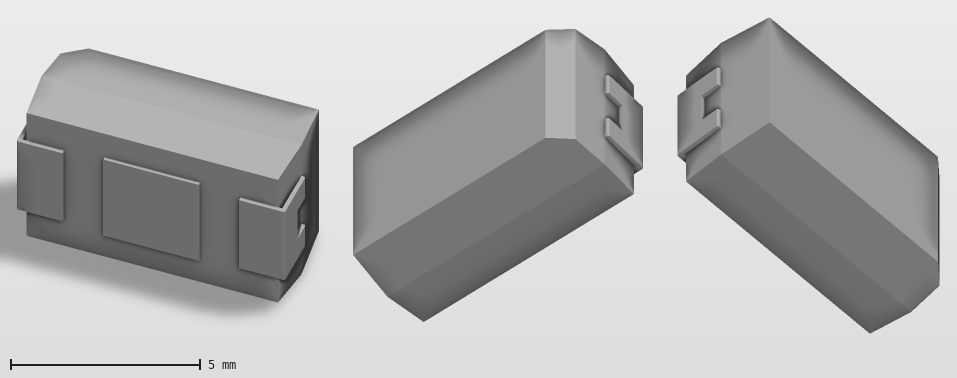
import cadquery as cq
import math

overall_length = 7.6
overall_depth = 3.1
housing_height = 4.6

sheet_thickness = 0.12
terminal_height = 2.42
foot_length = 1.3
terminal_round = 0.07
notch_height = 1.0
notch_depth = 0.6

housing_length = overall_length - 2 * sheet_thickness
back_depth = 1.6
front_depth = overall_depth - back_depth - sheet_thickness
draft_slope = math.tan(math.radians(5))
back_chamfer_length = 0.56
back_chamfer_depth = 0.5

pad_size = 2.7
pad_thickness = 0.1


def tapered_block(depth, direction):
    """Block tapering from the parting plane toward +Y (direction 1) or -Y (direction -1)."""
    inset = depth * draft_slope
    return (
        cq.Workplane("XZ")
        .rect(housing_length, housing_height)
        .workplane(offset=-direction * depth)
        .rect(housing_length - 2 * inset, housing_height - 2 * inset)
        .loft(ruled=True)
    )


def make_housing():
    """Double-tapered housing with a bevel along its back -X edge."""
    body = tapered_block(back_depth, 1).union(tapered_block(front_depth, -1))
    back_corner_x = -housing_length / 2 + back_depth * draft_slope
    bevel_start_y = back_depth - back_chamfer_depth
    bevel_start_x = -housing_length / 2 + bevel_start_y * draft_slope
    bevel_end_x = back_corner_x + back_chamfer_length
    bevel = (
        cq.Workplane("XY")
        .moveTo(bevel_start_x, bevel_start_y)
        .lineTo(bevel_end_x, back_depth)
        .lineTo(bevel_start_x, back_depth)
        .close()
        .extrude(housing_height, both=True)
    )
    return body.cut(bevel)


def make_terminal(side):
    """L-shaped strip with a notch in the end of its upright leg, at -X (side -1) or +X (side 1)."""
    outer_x = side * overall_length / 2
    inner_x = outer_x - side * sheet_thickness
    foot_end_x = outer_x - side * foot_length
    foot_front_y = -front_depth - sheet_thickness
    strip = (
        cq.Workplane("XY")
        .moveTo(outer_x, 0)
        .lineTo(inner_x, 0)
        .lineTo(inner_x, -front_depth)
        .lineTo(foot_end_x, -front_depth)
        .lineTo(foot_end_x, foot_front_y)
        .lineTo(outer_x, foot_front_y)
        .close()
        .extrude(terminal_height / 2, both=True)
        .edges("|Z")
        .edges(">X" if side > 0 else "<X")
        .fillet(terminal_round)
    )
    notch = cq.Workplane("XY").box(
        sheet_thickness, notch_depth, notch_height
    ).translate((outer_x - side * sheet_thickness / 2, -notch_depth / 2, 0))
    return strip.cut(notch)


def make_pad():
    """Thin square plate lying on the front face of the housing."""
    return cq.Workplane("XY").box(pad_size, pad_thickness, pad_size).translate(
        (0, -front_depth - pad_thickness / 2, 0)
    )


housing = make_housing()
terminals = [make_terminal(side) for side in (-1, 1)]
pad = make_pad()

result = cq.Compound.makeCompound(
    [housing.val(), *[terminal.val() for terminal in terminals], pad.val()]
)